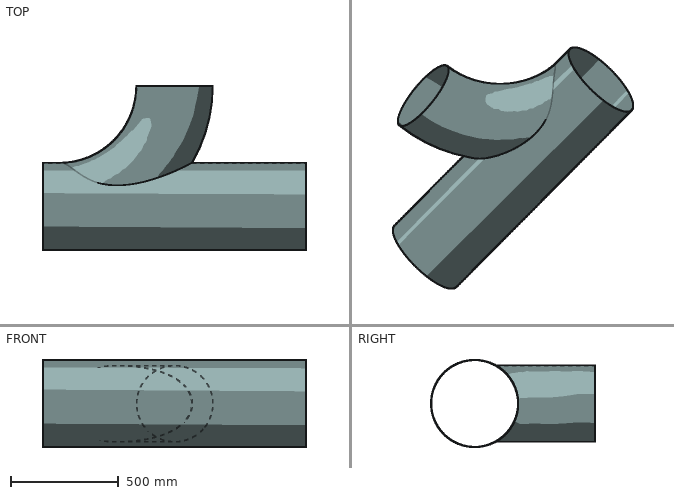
import cadquery as cq

run_length = 1220.0
run_diameter = 406.0
wall = 3.0

overall_width = 761.0
branch_diameter = 356.0
bend_angle = 90
bend_sink = 0.4
branch_reach = overall_width - run_diameter / 2
branch_x = run_length / 2
bend_radius = branch_reach - run_diameter / 2 + bend_sink + branch_diameter / 2


def run_rod(diameter):
    """Solid rod along the run axis, starting at X = 0."""
    return cq.Workplane("YZ").circle(diameter / 2).extrude(run_length)


def branch_bend(diameter):
    """Solid quarter bend from the open branch end down to the run direction."""
    return (
        cq.Workplane("XZ", origin=(branch_x, branch_reach, 0))
        .circle(diameter / 2)
        .revolve(bend_angle, (-bend_radius, 0, 0), (-bend_radius, -1, 0))
    )


outside = run_rod(run_diameter).union(branch_bend(branch_diameter))

result = (
    outside
    .cut(run_rod(run_diameter - 2 * wall))
    .cut(branch_bend(branch_diameter - 2 * wall))
)